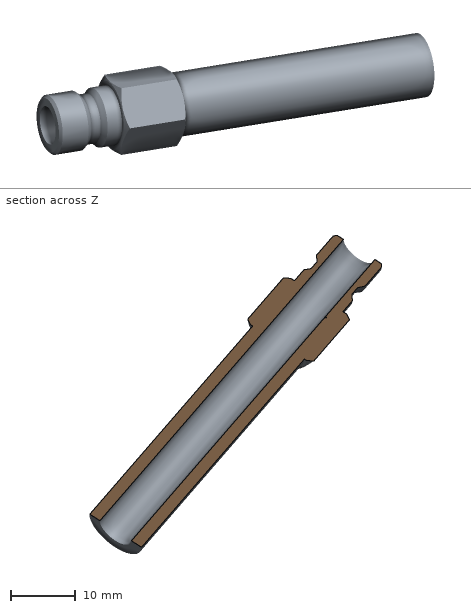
import cadquery as cq
import math

length = 63.0
front_y = -length / 2
bore_diameter = 6.0
tube_diameter = 10.0

hex_across_flats = 11.0
hex_across_corners = hex_across_flats / math.cos(math.radians(30))
hex_front = 10.45
hex_length = 10.45
hex_face_diameter = 10.8
hex_chamfer_angle = 30.0

plug_diameter = 9.4
plug_chamfer = 0.45
groove_diameter = 7.9
groove_front = 4.8
groove_floor_front = 5.75
groove_floor_back = 7.2
groove_back = 8.0


def revolve_profile(points):
    """Revolve (radius, distance from plug end) points about the Y axis."""
    profile = cq.Workplane("XY").polyline(points).close()
    solid = profile.revolve(360, (0, 0, 0), (0, 1, 0))
    return solid.translate((0, front_y, 0))


def make_stem():
    """Plug, locking groove and tube as one turned body."""
    plug_radius = plug_diameter / 2
    groove_radius = groove_diameter / 2
    tube_radius = tube_diameter / 2
    tube_start = hex_front + hex_length / 2
    return revolve_profile([
        (0, 0),
        (plug_radius - plug_chamfer, 0),
        (plug_radius, plug_chamfer),
        (plug_radius, groove_front),
        (groove_radius, groove_floor_front),
        (groove_radius, groove_floor_back),
        (plug_radius, groove_back),
        (plug_radius, tube_start),
        (tube_radius, tube_start),
        (tube_radius, length),
        (0, length),
    ])


def make_hexagon():
    """Hexagon with corners on +X and -X and conical chamfers on both ends."""
    prism = (
        cq.Workplane("XZ", origin=(0, front_y + hex_front, 0))
        .polygon(6, hex_across_corners)
        .extrude(-hex_length)
    )
    face_radius = hex_face_diameter / 2
    corner_radius = hex_across_corners / 2
    drop = (corner_radius - face_radius) * math.tan(math.radians(hex_chamfer_angle))
    hex_back = hex_front + hex_length
    envelope = revolve_profile([
        (0, hex_front),
        (face_radius, hex_front),
        (corner_radius, hex_front + drop),
        (corner_radius, hex_back - drop),
        (face_radius, hex_back),
        (0, hex_back),
    ])
    return prism.intersect(envelope)


def make_bore():
    """Through bore along the whole stem."""
    return (
        cq.Workplane("XZ", origin=(0, front_y, 0))
        .circle(bore_diameter / 2)
        .extrude(-length)
    )


result = make_stem().union(make_hexagon()).cut(make_bore())